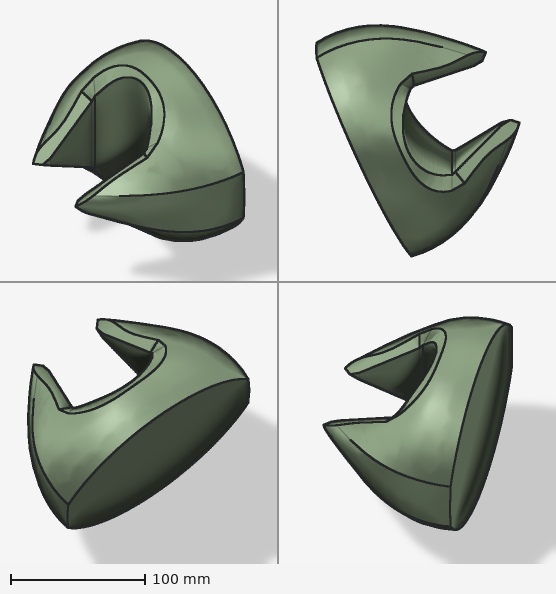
import cadquery as cq

half_width = 86.2
half_height = 70.28
corner_inset = 1.0
corner_inset_gain = 7.8
corner_drop = 0.22
corner_z = 22.0
dome_length = 120.7

back_half_width = 85.2
back_half_height = 69.7
widest_distance = 14.7
shoulder_distance = 37.0
shoulder_half_width = 83.3
shoulder_half_height = 65.5
waist_distance = 63.0
waist_half_width = 72.6
waist_half_height = 45.2
nose_distance = 92.3
nose_half_width = 50.9
nose_half_height = 19.8
end_half_width = 20.7
end_half_height = 6.9

slot_apex = 36.4
slot_arch_end = 55.2
slot_half_width = 36.5
slot_neck_half_width = 25.0
slot_leg_start = 58.0
slot_neck_start = 101.4
slot_reach = 138.0
slot_height = 2.5 * half_height

arch_apex_inner = cq.Vector(0, -slot_apex, 64.5)
arch_apex_outer = cq.Vector(0, -29.0, 69.5)
arch_end_inner = cq.Vector(slot_half_width, -slot_arch_end, 35.7)
arch_end_outer = cq.Vector(44.0, -51.7, 43.6)
leg_start_inner = cq.Vector(slot_half_width, -slot_leg_start, 31.5)
leg_start_outer = cq.Vector(47.0, -61.2, 35.9)
leg_tip_inner = cq.Vector(slot_neck_half_width, -108.6, 0)
leg_tip_outer = cq.Vector(29.0, -112.8, 0)
bevel_overrun = 0.6
tip_bevel_overrun = 3.0
tip_overrun = 0.3


def dome_section(distance, section_half_width, section_half_height):
    """Lens outline: long arcs above and below, shallow arcs at the sides."""
    scale = section_half_width / half_width
    taper = (distance / dome_length) ** 2
    x = section_half_width - corner_inset - corner_inset_gain * taper
    z = scale * corner_z * (1 - corner_drop * taper)
    outline = (
        cq.Workplane("XZ", origin=(0, -distance, 0))
        .moveTo(-x, z)
        .threePointArc((0, section_half_height), (x, z))
        .threePointArc((section_half_width, 0), (x, -z))
        .threePointArc((0, -section_half_height), (-x, -z))
        .threePointArc((-section_half_width, 0), (-x, z))
        .close()
    )
    return outline.val()


def make_dome():
    stations = [
        (0, back_half_width, back_half_height),
        (widest_distance, half_width, half_height),
        (shoulder_distance, shoulder_half_width, shoulder_half_height),
        (waist_distance, waist_half_width, waist_half_height),
        (nose_distance, nose_half_width, nose_half_height),
        (dome_length, end_half_width, end_half_height),
    ]
    sections = [dome_section(*station) for station in stations]
    return cq.Workplane(cq.Solid.makeLoft(sections))


def make_slot():
    """Arched slot whose straight legs close in towards a parallel neck."""
    return (
        cq.Workplane("XY")
        .moveTo(-slot_half_width, -slot_arch_end)
        .threePointArc((0, -slot_apex), (slot_half_width, -slot_arch_end))
        .lineTo(slot_half_width, -slot_leg_start)
        .lineTo(slot_neck_half_width, -slot_neck_start)
        .lineTo(slot_neck_half_width, -slot_reach)
        .lineTo(-slot_neck_half_width, -slot_reach)
        .lineTo(-slot_neck_half_width, -slot_neck_start)
        .lineTo(-slot_half_width, -slot_leg_start)
        .close()
        .extrude(slot_height / 2, both=True)
    )


def widened(inner, outer, share=bevel_overrun):
    """Stretch a line across the bevel beyond both of its ends."""
    overrun = (outer - inner) * share
    return inner - overrun, outer + overrun


def mirrored_x(point):
    return cq.Vector(-point.x, point.y, point.z)


def cutter_above(first_edge, second_edge):
    """Solid standing on the ruled face between two edges and reaching above the dome."""
    face = cq.Face.makeRuledSurface(first_edge, second_edge)
    return cq.Workplane(cq.Solid.extrudeLinear(face, cq.Vector(0, 0, slot_height)))


def bevel_rim(body):
    """Slope the slot rim along the arch, its corners and its legs, above and below."""
    apex = widened(arch_apex_inner, arch_apex_outer)
    arch_end = widened(arch_end_inner, arch_end_outer)
    leg_start = widened(leg_start_inner, leg_start_outer)
    leg_tip = widened(leg_tip_inner, leg_tip_outer, tip_bevel_overrun)
    leg_end = [tip + (tip - start) * tip_overrun for start, tip in zip(leg_start, leg_tip)]

    arch_edges = [
        cq.Edge.makeThreePointArc(mirrored_x(end), middle, end)
        for middle, end in zip(apex, arch_end)
    ]
    arch_line = cq.Edge.makeLine(*arch_end)
    start_line = cq.Edge.makeLine(*leg_start)
    end_line = cq.Edge.makeLine(*leg_end)
    arch = cutter_above(*arch_edges)
    corner = cutter_above(arch_line, start_line)
    leg = cutter_above(start_line, end_line)

    upper_cutters = [arch, corner, corner.mirror("YZ"), leg, leg.mirror("YZ")]
    for cutter in upper_cutters:
        body = body.cut(cutter).cut(cutter.mirror("XY"))
    return body


result = bevel_rim(make_dome().cut(make_slot()))